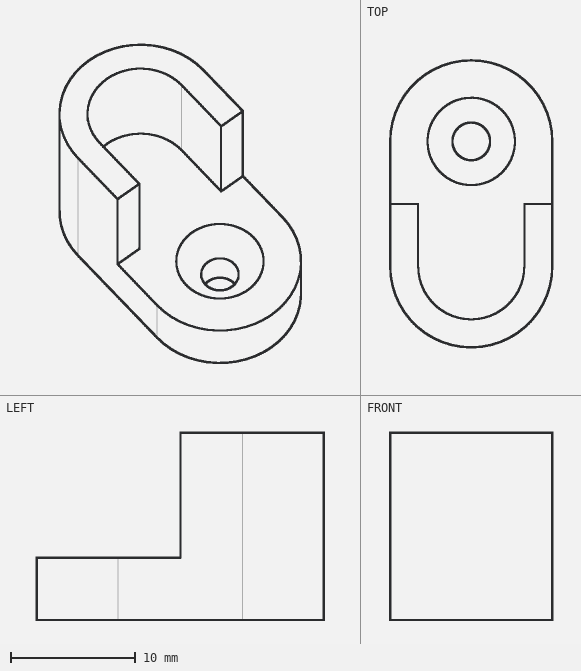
import cadquery as cq

width = 13.0
end_spacing = 10.0
length = end_spacing + width
base_thickness = 5.0

total_height = 15.0
wall_thickness = 2.25
wall_height = total_height - base_thickness
inner_width = width - 2 * wall_thickness

hole_y = end_spacing / 2
hole_diameter = 3.0
countersink_diameter = 7.0
countersink_angle = 90.0


def stadium(across, height, bottom_z):
    """Upright stadium prism whose end arcs share the centres of the base's rounded ends."""
    return (
        cq.Workplane("XY", origin=(0, 0, bottom_z))
        .slot2D(end_spacing + across, across, angle=90)
        .extrude(height)
    )


def make_wall():
    """The -Y half of a stadium-shaped ring."""
    outside = stadium(width, wall_height, base_thickness)
    inside = stadium(inner_width, wall_height, base_thickness)
    removed_half = (
        cq.Workplane("XY", origin=(0, length / 2, base_thickness))
        .rect(width, length)
        .extrude(wall_height)
    )
    return outside.cut(inside).cut(removed_half)


def make_base():
    """Base plate with the countersunk hole opening on its top face."""
    return (
        stadium(width, base_thickness, 0)
        .faces(">Z")
        .workplane(origin=(0, hole_y, base_thickness))
        .cskHole(hole_diameter, countersink_diameter, countersink_angle)
    )


result = make_base().union(make_wall())